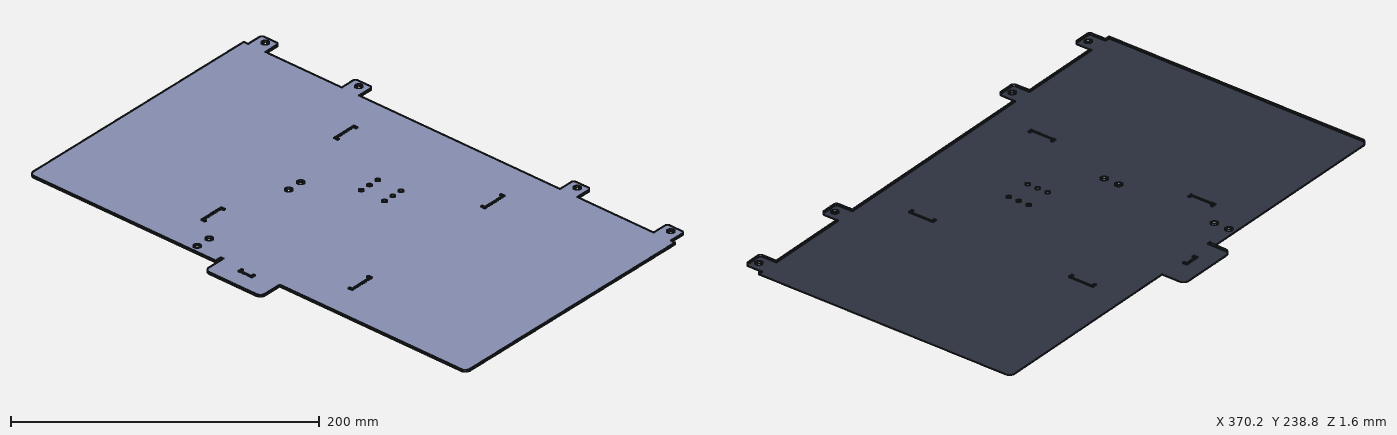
import cadquery as cq

THICKNESS = 1.6
PANEL_WIDTH = 370.2
PANEL_DEPTH = 211.8
RIGHT_EDGE_STEP = 5.0
CORNER_RADIUS = 4.0

TAB_WIDTH = 14.8
TAB_LENGTH = 13.5
TAB_RADIUS = 2.0
TAB_OFFSETS = (93.5, 174.0)
TAB_HOLE_FROM_END = 4.8
LARGE_HOLE = 5.0

TONGUE_LEFT = -23.0
TONGUE_RIGHT = 25.0
TONGUE_LENGTH = 13.5
NOTCH_WIDTH = 2.2

SMALL_HOLE = 3.4
SMALL_COLUMN_OFFSET = 10.0
SMALL_ROW_PITCH = 8.0
SMALL_ROW_MIDDLE = 28.5

LARGE_COLUMN_X = -46.0
LARGE_PAIR_PITCH = 12.0
LARGE_PAIR_MIDDLES = (-4.0, -94.5)

SLOT_WIDTH = 1.0
RELIEF_LENGTH = 1.5
RELIEF_DEPTH = 2.2
SIDE_SLOT_LENGTH = 20.0
SIDE_SLOT_OUTER_X = 64.8
SIDE_SLOT_MIDDLES = (66.3, -64.8)
TONGUE_SLOT_LENGTH = 11.5
TONGUE_SLOT_FRONT_Y = -106.0

right = PANEL_WIDTH / 2
back = PANEL_DEPTH / 2
front_left = -back
front_right = front_left + RIGHT_EDGE_STEP
tongue_end = front_left - TONGUE_LENGTH


def block(x_min, x_max, y_min, y_max):
    """Full-thickness rectangular block between the given limits."""
    return (
        cq.Workplane("XY")
        .box(x_max - x_min, y_max - y_min, THICKNESS, centered=False)
        .translate((x_min, y_min, 0))
    )


def panel_with_tongue():
    """Main panel, its stepped front edge and the tongue with its notch."""
    notch_left = TONGUE_LEFT - NOTCH_WIDTH
    return (
        cq.Workplane("XY")
        .moveTo(-right, back)
        .lineTo(-right, front_left)
        .lineTo(notch_left, front_left)
        .lineTo(notch_left, front_right)
        .lineTo(TONGUE_LEFT, front_right)
        .lineTo(TONGUE_LEFT, tongue_end)
        .lineTo(TONGUE_RIGHT, tongue_end)
        .lineTo(TONGUE_RIGHT, front_right)
        .lineTo(right, front_right)
        .lineTo(right, back)
        .close()
        .extrude(THICKNESS)
    )


def tab(x):
    """Mounting tab centred on x, rounded at its free end."""
    half = TAB_WIDTH / 2
    blank = block(x - half, x + half, back, back + TAB_LENGTH)
    return blank.edges("|Z and >Y").fillet(TAB_RADIUS)


def slot(length):
    """Slot along X with its plain side on Y = 0 and end reliefs on the +Y side."""
    half = length / 2
    cutter = block(-half, half, 0, SLOT_WIDTH)
    for start in (-half, half - RELIEF_LENGTH):
        cutter = cutter.union(block(start, start + RELIEF_LENGTH, 0, SLOT_WIDTH + RELIEF_DEPTH))
    return cutter


def round_cutter(points, diameter):
    """Full-thickness round cutters of one diameter at the given points."""
    return cq.Workplane("XY").pushPoints(points).circle(diameter / 2).extrude(THICKNESS)


tab_xs = [side * offset for side in (-1, 1) for offset in TAB_OFFSETS]

result = panel_with_tongue()
for corner in (
    (-right, front_left),
    (TONGUE_LEFT, tongue_end),
    (TONGUE_RIGHT, tongue_end),
    (right, front_right),
):
    corner_edge = cq.selectors.NearestToPointSelector((*corner, THICKNESS / 2))
    result = result.edges(corner_edge).fillet(CORNER_RADIUS)
for x in tab_xs:
    result = result.union(tab(x))

tab_hole_y = back + TAB_LENGTH - TAB_HOLE_FROM_END
tab_holes = [(x, tab_hole_y) for x in tab_xs]
small_holes = [
    (side * SMALL_COLUMN_OFFSET, SMALL_ROW_MIDDLE + row * SMALL_ROW_PITCH)
    for side in (-1, 1)
    for row in (-1, 0, 1)
]
large_holes = [
    (LARGE_COLUMN_X, middle + side * LARGE_PAIR_PITCH / 2)
    for middle in LARGE_PAIR_MIDDLES
    for side in (-1, 1)
]
result = result.cut(round_cutter(tab_holes + large_holes, LARGE_HOLE))
result = result.cut(round_cutter(small_holes, SMALL_HOLE))

for side in (-1, 1):
    side_slot = slot(SIDE_SLOT_LENGTH).rotate((0, 0, 0), (0, 0, 1), side * 90)
    for y in SIDE_SLOT_MIDDLES:
        result = result.cut(side_slot.translate((side * SIDE_SLOT_OUTER_X, y, 0)))
result = result.cut(slot(TONGUE_SLOT_LENGTH).translate((0, TONGUE_SLOT_FRONT_Y, 0)))